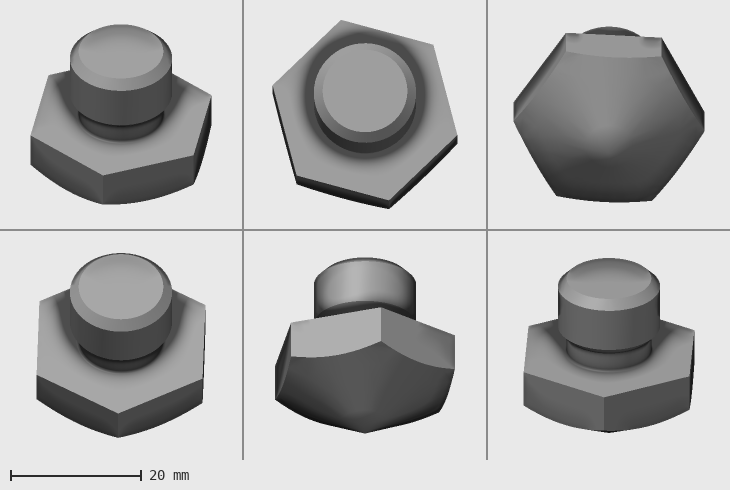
import cadquery as cq
import math

across_corners = 29.33
total_height = 26.98
head_top = 14.28
point_slope = math.radians(30)

stud_radius = 7.83
neck_radius = 6.48
neck_length = 3.17
neck_fillet = 0.4
bevel = stud_radius - neck_radius


def make_head():
    """Vertical hexagonal prism, corners on Y, trimmed by the cone."""
    prism = (
        cq.Workplane("XY")
        .polygon(6, across_corners)
        .extrude(head_top)
        .rotate((0, 0, 0), (0, 0, 1), 90)
    )
    cone_radius = head_top / math.tan(point_slope)
    cone = (
        cq.Workplane("XZ")
        .polyline([(0, 0), (cone_radius, head_top), (0, head_top)])
        .close()
        .revolve(360, (0, 0), (0, 1))
    )
    return prism.intersect(cone)


def make_stud():
    """Bevelled stud, with the neck flaring into the head through a fillet."""
    neck_top = head_top + neck_length
    fillet_mid = neck_fillet * (1 - math.sqrt(0.5))
    return (
        cq.Workplane("XZ")
        .moveTo(0, head_top)
        .lineTo(neck_radius + neck_fillet, head_top)
        .threePointArc(
            (neck_radius + fillet_mid, head_top + fillet_mid),
            (neck_radius, head_top + neck_fillet),
        )
        .lineTo(neck_radius, neck_top)
        .lineTo(stud_radius, neck_top + bevel)
        .lineTo(stud_radius, total_height - bevel)
        .lineTo(stud_radius - bevel, total_height)
        .lineTo(0, total_height)
        .close()
        .revolve(360, (0, 0), (0, 1))
    )


result = make_head().union(make_stud())